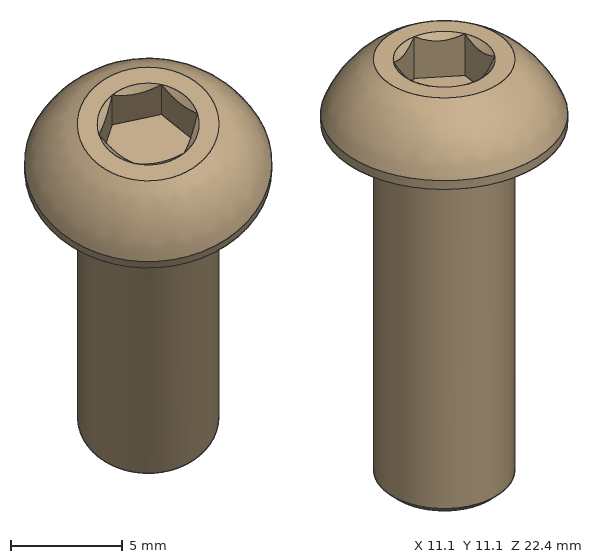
import cadquery as cq
import math

total_length = 22.4
head_diameter = 11.1
head_height = 3.35
shank_diameter = 6.36
shank_length = total_length - head_height

rim_height = 0.47
crown_diameter = 6.36
dome_bulge = 0.31
tip_chamfer = 0.38

socket_across_flats = 3.96
socket_corner_diameter = socket_across_flats / math.cos(math.pi / 6)
socket_depth = 2.25
lead_in_angle = 45.0


def make_head():
    """Revolve the rim, domed side and flat crown about Z."""
    rim_radius = head_diameter / 2
    crown_radius = crown_diameter / 2
    run = rim_radius - crown_radius
    rise = head_height - rim_height
    chord = math.hypot(run, rise)
    arc_middle = (
        (rim_radius + crown_radius) / 2 + dome_bulge * rise / chord,
        (head_height + rim_height) / 2 + dome_bulge * run / chord,
    )
    profile = (
        cq.Workplane("XZ")
        .lineTo(rim_radius, 0)
        .lineTo(rim_radius, rim_height)
        .threePointArc(arc_middle, (crown_radius, head_height))
        .lineTo(0, head_height)
        .close()
    )
    return profile.revolve(360, (0, 0, 0), (0, 1, 0))


def make_shank():
    """Plain cylinder below the head with a chamfered tip."""
    shank = cq.Workplane("XY").circle(shank_diameter / 2).extrude(-shank_length)
    return shank.faces("<Z").chamfer(tip_chamfer)


def make_socket():
    """Hexagonal recess with corners on the Y axis, joined to its lead-in cone."""
    hexagon = (
        cq.Workplane("XY", origin=(0, 0, head_height))
        .transformed(rotate=(0, 0, 90))
        .polygon(6, socket_corner_diameter)
        .extrude(-socket_depth)
    )
    mouth_radius = socket_corner_diameter / 2
    throat_radius = socket_across_flats / 2
    lead_in_depth = (mouth_radius - throat_radius) * math.tan(math.radians(lead_in_angle))
    lead_in = (
        cq.Workplane("XZ", origin=(0, 0, head_height))
        .lineTo(mouth_radius, 0)
        .lineTo(throat_radius, -lead_in_depth)
        .lineTo(0, -lead_in_depth)
        .close()
        .revolve(360, (0, 0, 0), (0, 1, 0))
    )
    return hexagon.union(lead_in)


result = make_head().union(make_shank()).cut(make_socket())